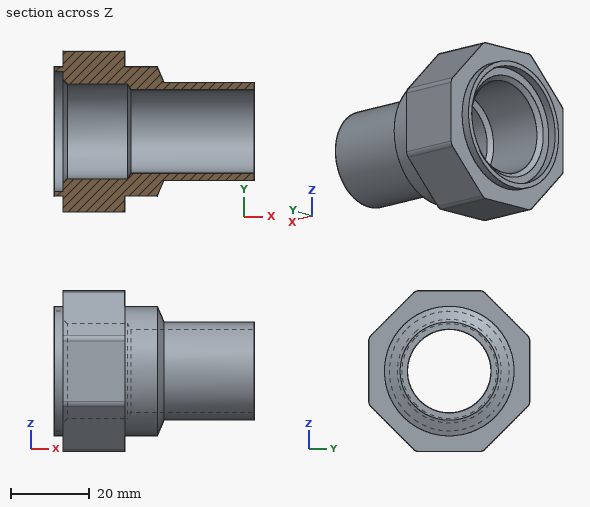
import cadquery as cq
import math

total_length = 51.0
collar_length = 2.25
octagon_length = 15.75
shoulder_start = 26.3
shoulder_end = 28.0

body_diameter = 33.0
spigot_diameter = 25.0
octagon_sides = 8
octagon_width = 41.0
octagon_corner_radius = 1.9

recess_diameter = 30.47
recess_depth = 2.25
socket_diameter = 24.12
socket_chamfer = 1.14
socket_end = 18.7
bore_diameter = 21.2
taper_angle = 30
taper_length = (socket_diameter - bore_diameter) / 2 * math.tan(math.radians(taper_angle))


def revolve_about_x(outline):
    """Turn a list of (x, radius) points into a solid of revolution about X."""
    profile = cq.Workplane("XY").polyline(outline).close()
    return profile.revolve(360, (0, 0, 0), (1, 0, 0))


def make_turned_body():
    """Wide body, sloped shoulder and narrow spigot."""
    return revolve_about_x([
        (0, 0),
        (0, body_diameter / 2),
        (shoulder_start, body_diameter / 2),
        (shoulder_end, spigot_diameter / 2),
        (total_length, spigot_diameter / 2),
        (total_length, 0),
    ])


def make_octagon():
    """Octagonal wrench grip with flats facing Y and Z and rounded corners."""
    corner_circle_diameter = octagon_width / math.cos(math.pi / octagon_sides)
    return (
        cq.Workplane("YZ", origin=(collar_length, 0, 0))
        .transformed(rotate=(0, 0, 180 / octagon_sides))
        .polygon(octagon_sides, corner_circle_diameter)
        .extrude(octagon_length)
        .edges("|X")
        .fillet(octagon_corner_radius)
    )


def make_bore():
    """Shallow recess, chamfered socket and a taper down to the through bore."""
    return revolve_about_x([
        (0, 0),
        (0, recess_diameter / 2),
        (recess_depth, recess_diameter / 2),
        (recess_depth, socket_diameter / 2 + socket_chamfer),
        (recess_depth + socket_chamfer, socket_diameter / 2),
        (socket_end, socket_diameter / 2),
        (socket_end + taper_length, bore_diameter / 2),
        (total_length, bore_diameter / 2),
        (total_length, 0),
    ])


result = make_turned_body().union(make_octagon()).cut(make_bore())